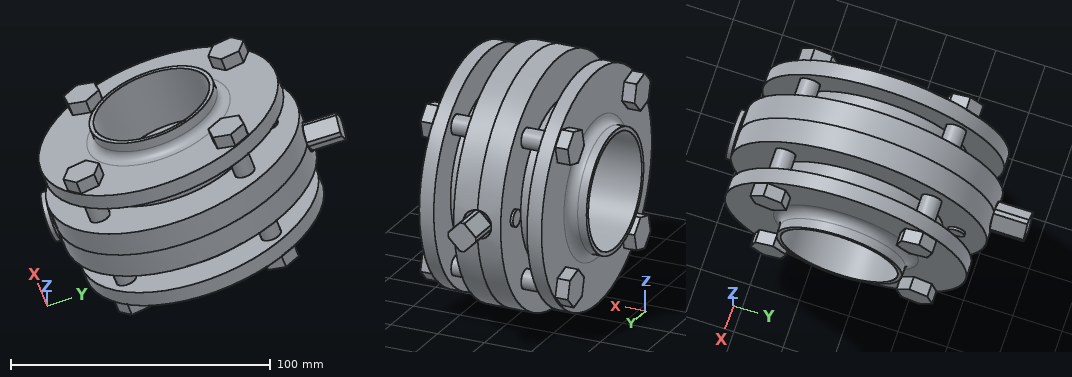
import cadquery as cq
import math


ring_radius = 52.0
ring_half_width = 10.0
pipe_radius = 25.5
barrel_radius = 34.0
bore_radius = 23.8
overall_length = 68.0
pipe_half_length = overall_length / 2

flange_radius = 49.1
flange_inner_x = 20.0
flange_outer_x = 26.2
neck_fillet = 4.0

bolt_circle_radius = 42.0
bolt_radius = 4.1
bolt_head_flats = 13.0
bolt_head_height = 5.4
bolt_count = 4
first_bolt_angle = 45

stud_radius = 3.5
stud_y = 39.8
stud_height = 1.1

disc_half_thickness = ring_half_width
shaft_radius = 6.0
square_flats = 9.7
square_end_y = 65.5
cap_radius = ring_half_width
cap_inner_y = ring_radius
cap_outer_y = 54.0


def x_cylinder(radius, start, end, y=0, z=0):
    """Cylinder along X between two X positions."""
    return cq.Workplane("YZ", origin=(start, y, z)).circle(radius).extrude(end - start)


def y_cylinder(radius, start, end):
    """Cylinder along the shaft axis between two Y positions."""
    return cq.Workplane("XZ", origin=(0, start, 0)).circle(radius).extrude(start - end)


def make_revolved_shell():
    """Ring, barrel, flange and pipe end of the +X half, with the bore open."""
    fillet_end_x = flange_outer_x + neck_fillet
    fillet_base_radius = pipe_radius + neck_fillet
    arc_offset = neck_fillet * (1 - math.sqrt(0.5))
    return (
        cq.Workplane("XY")
        .moveTo(0, bore_radius)
        .lineTo(0, ring_radius)
        .lineTo(ring_half_width, ring_radius)
        .lineTo(ring_half_width, barrel_radius)
        .lineTo(flange_inner_x, barrel_radius)
        .lineTo(flange_inner_x, flange_radius)
        .lineTo(flange_outer_x, flange_radius)
        .lineTo(flange_outer_x, fillet_base_radius)
        .threePointArc(
            (flange_outer_x + arc_offset, pipe_radius + arc_offset),
            (fillet_end_x, pipe_radius),
        )
        .lineTo(pipe_half_length, pipe_radius)
        .lineTo(pipe_half_length, bore_radius)
        .close()
        .revolve(360, (0, 0, 0), (1, 0, 0))
    )


def make_bolt(angle):
    """Bolt of the +X half; two flats of the hexagon head lie square to the radius."""
    y = bolt_circle_radius * math.cos(math.radians(angle))
    z = bolt_circle_radius * math.sin(math.radians(angle))
    shank = x_cylinder(bolt_radius, ring_half_width, flange_outer_x, y, z)
    head_corner_diameter = bolt_head_flats / math.cos(math.radians(30))
    head = (
        cq.Workplane("YZ", origin=(flange_outer_x, 0, 0))
        .transformed(rotate=(0, 0, angle))
        .center(bolt_circle_radius, 0)
        .transformed(rotate=(0, 0, 30))
        .polygon(6, head_corner_diameter)
        .extrude(bolt_head_height)
    )
    return shank.union(head)


def make_housing_half():
    """Housing half on the +X side, with its half of the shaft hole cut in."""
    half = make_revolved_shell()
    for index in range(bolt_count):
        half = half.union(make_bolt(first_bolt_angle + index * 360 / bolt_count))
    half = half.cut(y_cylinder(shaft_radius, -ring_radius, ring_radius))
    stud = x_cylinder(stud_radius, ring_half_width, ring_half_width + stud_height, stud_y)
    return half.union(stud)


def make_disc_with_shaft():
    """Closing disc on its shaft, with a square drive end at +Y and a round cap at -Y."""
    disc = x_cylinder(bore_radius, -disc_half_thickness, disc_half_thickness)
    wall_exit_y = math.sqrt(ring_radius**2 - shaft_radius**2)
    journal = y_cylinder(shaft_radius, -cap_inner_y, wall_exit_y)
    cap = y_cylinder(cap_radius, -cap_outer_y, -cap_inner_y)
    square = (
        cq.Workplane("XZ")
        .transformed(rotate=(0, 0, 45))
        .rect(square_flats, square_flats)
        .extrude(-square_end_y)
        .intersect(y_cylinder(shaft_radius, 0, square_end_y))
    )
    return disc.union(journal).union(cap).union(square)


right_housing = make_housing_half()
left_housing = right_housing.mirror("YZ")
disc_with_shaft = make_disc_with_shaft()

result = cq.Compound.makeCompound(
    [left_housing.val(), right_housing.val(), disc_with_shaft.val()]
)